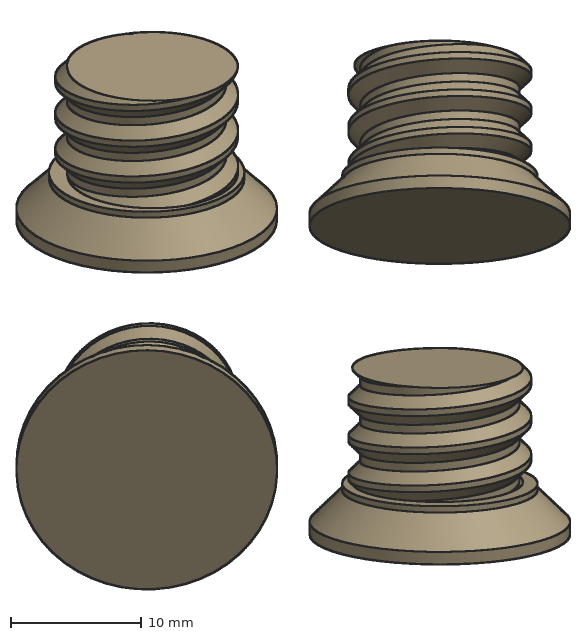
import cadquery as cq

base_diameter = 20.0
rim_height = 1.0
collar_diameter = 15.0
collar_height = 0.5
shoulder_z = 4.0

top_z = 13.0
core_diameter = 12.25
thread_diameter = 14.05
pitch = 3.0
crest_width = 0.52
thread_start_z = 1.1
turns = 5

base_radius = base_diameter / 2
collar_radius = collar_diameter / 2
core_radius = core_diameter / 2
thread_radius = thread_diameter / 2
thread_depth = thread_radius - core_radius


def make_base():
    """Revolved base: straight rim, cone and short collar."""
    return (
        cq.Workplane("XZ")
        .lineTo(base_radius, 0)
        .lineTo(base_radius, rim_height)
        .lineTo(collar_radius, shoulder_z - collar_height)
        .lineTo(collar_radius, shoulder_z)
        .lineTo(0, shoulder_z)
        .close()
        .revolve(360, (0, 0, 0), (0, 1, 0))
    )


def make_threaded_post():
    """Solid helical skin of crest, flanks and root, capped level at both ends."""
    half_crest = crest_width / 2
    half_root = half_crest + thread_depth
    corners = [
        (core_radius, -half_root),
        (thread_radius, -half_crest),
        (thread_radius, half_crest),
        (core_radius, half_root),
        (core_radius, pitch - half_root),
    ]
    helices = [
        cq.Wire.makeHelix(pitch, pitch * turns, radius, center=cq.Vector(0, 0, thread_start_z + height))
        for radius, height in corners
    ]
    strips = [cq.Face.makeRuledSurface(lower, upper) for lower, upper in zip(helices, helices[1:])]
    skin = cq.Compound.makeCompound([face for strip in strips for face in strip.Faces()])
    blank = cq.Workplane("XY", origin=(0, 0, shoulder_z)).circle(collar_radius).extrude(top_z - shoulder_z)
    pieces = blank.val().split(*skin.Faces())
    axis_point = cq.Vector(0, 0, (shoulder_z + top_z) / 2)
    return next(piece for piece in pieces.Solids() if piece.isInside(axis_point))


result = make_base().union(cq.Workplane(obj=make_threaded_post()))